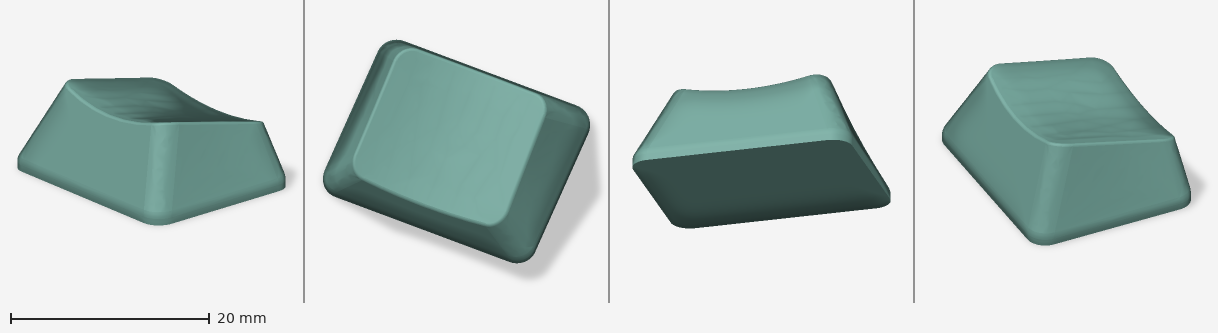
import cadquery as cq
import math

width = 22.92
depth = 18.15
corner_radius = 2.0

skirt_height = 0.69
bend_height = 0.66
bend_top = skirt_height + bend_height
bend_sections = 4
blank_front_height = 10.55

side_lean_at_front = math.radians(21.0)
side_lean_at_back = math.radians(31.0)
front_lean = math.radians(24.5)
back_lean = math.radians(5.0)

rim_tilt = 13.5
trough_front_y = -13.75
trough_back_y = 13.75
trough_front_z = 9.8
trough_back_z = 3.99
trough_front_radius = 19.25
trough_back_radius = 36.67
trough_half_width = 12.6
trough_top = 18.34
rim_radius = 0.32


def wall_inset(z, lean):
    """Inward shift of a wall at height z: none, then parabolic, then linear."""
    if z <= skirt_height:
        return 0.0
    if z <= bend_top:
        return math.tan(lean) * (z - skirt_height) ** 2 / (2 * bend_height)
    return math.tan(lean) * (z - skirt_height - bend_height / 2)


def front_wall(z):
    return -depth / 2 + wall_inset(z, front_lean)


def back_wall(z):
    return depth / 2 - wall_inset(z, back_lean)


def wall_outline(front_z, back_z):
    """Rounded outline of the outer walls on the plane through the two given heights."""
    front_half_width = width / 2 - wall_inset(front_z, side_lean_at_front)
    back_half_width = width / 2 - wall_inset(back_z, side_lean_at_back)
    run = back_wall(back_z) - front_wall(front_z)
    rise = back_z - front_z
    length = math.hypot(run, rise)
    corners = [
        (-front_half_width, 0),
        (front_half_width, 0),
        (back_half_width, length),
        (-back_half_width, length),
        (-front_half_width, 0),
    ]
    plane = cq.Plane((0, front_wall(front_z), front_z), (1, 0, 0), (0, -rise, run))
    return cq.Sketch().polygon(corners).vertices().fillet(corner_radius).moved(cq.Location(plane))


def blank_back_height():
    """Height where the back wall meets the blank's top, which slopes like the rim."""
    slope = math.tan(math.radians(rim_tilt))
    run_at_bend = back_wall(bend_top) - front_wall(blank_front_height)
    drop_below_front = blank_front_height - bend_top - slope * run_at_bend
    return bend_top + drop_below_front / (1 - slope * math.tan(back_lean))


def make_blank():
    """Solid keycap body with a sloping top."""
    skirt = cq.Workplane("XY").placeSketch(wall_outline(0, 0)).extrude(skirt_height)
    bend_step = bend_height / (bend_sections - 1)
    bend_levels = [skirt_height + i * bend_step for i in range(bend_sections)]
    bend_outlines = [wall_outline(z, z) for z in bend_levels]
    bend = cq.Workplane("XY").placeSketch(*bend_outlines).loft()
    walls_bottom = wall_outline(bend_top, bend_top)
    walls_top = wall_outline(blank_front_height, blank_back_height())
    walls = cq.Workplane("XY").placeSketch(walls_bottom, walls_top).loft(ruled=True)
    return skirt.union(bend).union(walls)


def trough_section(y, bottom_z, radius):
    """Upright section of the trough: open-topped, with an arc for its floor."""
    arc_rise = radius - math.sqrt(radius**2 - trough_half_width**2)
    return (
        cq.Workplane("XZ", origin=(0, y, 0))
        .moveTo(-trough_half_width, bottom_z + arc_rise)
        .threePointArc((0, bottom_z), (trough_half_width, bottom_z + arc_rise))
        .lineTo(trough_half_width, trough_top)
        .lineTo(-trough_half_width, trough_top)
        .close()
        .val()
    )


def make_dish_cutter():
    front = trough_section(trough_front_y, trough_front_z, trough_front_radius)
    back = trough_section(trough_back_y, trough_back_z, trough_back_radius)
    return cq.Solid.makeLoft([front, back], True)


dished = make_blank().cut(make_dish_cutter())

dish_middle = (0, 0, (trough_front_z + trough_back_z) / 2)
result = dished.faces(cq.selectors.NearestToPointSelector(dish_middle)).edges().fillet(rim_radius)